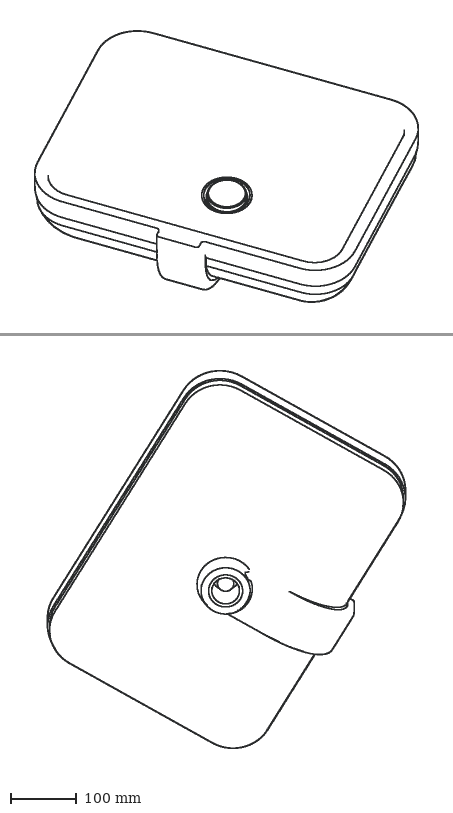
import cadquery as cq
import math

LENGTH = 520.0
WIDTH = 384.0
CORNER_RADIUS = 65.0
RIM_SIDE = 16.0
RIM_BACK = 16.0
RIM_FRONT = 14.0

LIP_STRAIGHT = 30.0
LIP_DEPTH = 35.5
LIP_TAPER = 0.5
WALL_INSET = 3.4
WALL_DEPTH = 56.0
UNDERSIDE_DEPTH = 140.5
UNDERSIDE_RUN = 100.5
UNDERSIDE_RADIUS = 114.0
BOTTOM_CORNER_RADIUS = 1.0
UNDERSIDE_SECTIONS = 8

BOWL_DEPTH = 100.0
BOWL_RADIUS = 45.0
RIM_ROUND = 4.5

DUCT_WIDTH = 69.0
DUCT_STANDOFF = 16.0
DUCT_STRAIGHT = 44.0
DUCT_BEND_RADIUS = 116.5
DUCT_BOTTOM = -DUCT_STRAIGHT - DUCT_BEND_RADIUS
DUCT_EDGE_ROUND = 4.0
DUCT_ROOT_ROUND = 5.0
DUCT_EMBED = 21.0

TOTAL_DEPTH = 170.0
DRAIN_Y = 1.5
SPIGOT_DIAMETER = 75.0
SPIGOT_FLARE = 9.5
FLARE_OVERLAP = 0.5
DUCT_SPIGOT_FLARE = 5.5

RING_DIAMETER = 77.0
RING_LIP = 3.0
RING_SEAT_DIAMETER = 63.5
RING_SEAT_DEPTH = 5.0
RING_THICKNESS = 8.5
TUBE_DIAMETER = 52.0
TUBE_BORE = 42.0

CAP_DIAMETER = 60.0
CAP_CHAMFER = 1.5
CAP_RIM_HEIGHT = 4.0
CAP_CROWN_HEIGHT = 9.5
STEM_DIAMETER = 25.0
STEM_LENGTH = 31.0


def rounded_block(length, width, radius, top, depth):
    """Block with rounded vertical corners, hanging down from z = top."""
    block = cq.Workplane("XY").workplane(offset=top).rect(length, width).extrude(-depth)
    return block.edges("|Z").fillet(radius)


def rounded_rectangle(inset, radius, z):
    """Closed wire following the basin outline at a given inset and height."""
    half_x = LENGTH / 2 - inset
    half_y = WIDTH / 2 - inset
    inner_x = half_x - radius
    inner_y = half_y - radius
    mid = radius * math.sqrt(0.5)
    outline = (
        cq.Workplane("XY", origin=(0, 0, z))
        .moveTo(-inner_x, -half_y)
        .lineTo(inner_x, -half_y)
        .threePointArc((inner_x + mid, -inner_y - mid), (half_x, -inner_y))
        .lineTo(half_x, inner_y)
        .threePointArc((inner_x + mid, inner_y + mid), (inner_x, half_y))
        .lineTo(-inner_x, half_y)
        .threePointArc((-inner_x - mid, inner_y + mid), (-half_x, inner_y))
        .lineTo(-half_x, -inner_y)
        .threePointArc((-inner_x - mid, -inner_y - mid), (-inner_x, -half_y))
        .close()
    )
    return outline.val()


def make_lip():
    straight = rounded_block(LENGTH, WIDTH, CORNER_RADIUS, 0, LIP_STRAIGHT)
    upper = rounded_rectangle(0, CORNER_RADIUS, -LIP_STRAIGHT)
    lower = rounded_rectangle(LIP_TAPER, CORNER_RADIUS - LIP_TAPER, -LIP_DEPTH)
    taper = cq.Workplane(cq.Solid.makeLoft([upper, lower], True))
    return straight.union(taper)


def make_wall():
    length = LENGTH - 2 * WALL_INSET
    width = WIDTH - 2 * WALL_INSET
    radius = CORNER_RADIUS - WALL_INSET
    return rounded_block(length, width, radius, -LIP_STRAIGHT, WALL_DEPTH - LIP_STRAIGHT)


def make_underside():
    """Curved lower shell whose corner radius shrinks towards the flat bottom."""
    drop = UNDERSIDE_DEPTH - WALL_DEPTH
    chord = math.hypot(UNDERSIDE_RUN, drop)
    chord_angle = math.atan2(drop, UNDERSIDE_RUN)
    half_sweep = math.asin(chord / 2 / UNDERSIDE_RADIUS)
    start = math.pi / 2 - chord_angle - half_sweep
    wall_corner = CORNER_RADIUS - WALL_INSET
    wires = []
    for i in range(UNDERSIDE_SECTIONS + 1):
        angle = start + 2 * half_sweep * i / UNDERSIDE_SECTIONS
        run = UNDERSIDE_RADIUS * (math.cos(start) - math.cos(angle))
        depth = WALL_DEPTH + UNDERSIDE_RADIUS * (math.sin(angle) - math.sin(start))
        corner = wall_corner + (BOTTOM_CORNER_RADIUS - wall_corner) * run / UNDERSIDE_RUN
        wires.append(rounded_rectangle(WALL_INSET + run, corner, -depth))
    return cq.Workplane(cq.Solid.makeLoft(wires))


def sweep_to_drain(section, front, bottom, bend_radius):
    """Sweep a section lying in the rim plane down the front, round the bend and on to the drain."""
    bend_y = front + bend_radius
    bend_z = bottom + bend_radius
    mid = bend_radius * math.sqrt(0.5)
    path = (
        cq.Workplane("YZ")
        .moveTo(front, 0)
        .lineTo(front, bend_z)
        .threePointArc((bend_y - mid, bend_z - mid), (bend_y, bottom))
        .lineTo(DRAIN_Y, bottom)
    )
    return section.sweep(path)


def make_duct_channel():
    """Main run of the duct, with rounded outer edges."""
    half = DUCT_WIDTH / 2
    front = -WIDTH / 2 - DUCT_STANDOFF
    back = -WIDTH / 2 + DUCT_EMBED
    shoulder = front + DUCT_EDGE_ROUND
    mid = DUCT_EDGE_ROUND * (1 - math.sqrt(0.5))
    section = (
        cq.Workplane("XY")
        .moveTo(-half + DUCT_EDGE_ROUND, front)
        .lineTo(half - DUCT_EDGE_ROUND, front)
        .threePointArc((half - mid, front + mid), (half, shoulder))
        .lineTo(half, back)
        .lineTo(-half, back)
        .lineTo(-half, shoulder)
        .threePointArc((-half + mid, front + mid), (-half + DUCT_EDGE_ROUND, front))
        .close()
    )
    return sweep_to_drain(section, front, DUCT_BOTTOM, DUCT_BEND_RADIUS)


def make_duct_root():
    """Concave flares where the sides of the duct meet the basin."""
    half = DUCT_WIDTH / 2
    base = -WIDTH / 2
    back = base + DUCT_EMBED
    tip = base - DUCT_ROOT_ROUND
    mid = DUCT_ROOT_ROUND * (1 - math.sqrt(0.5))
    section = (
        cq.Workplane("XY")
        .moveTo(-half, tip)
        .lineTo(half, tip)
        .threePointArc((half + mid, base - mid), (half + DUCT_ROOT_ROUND, base))
        .lineTo(half + DUCT_ROOT_ROUND, back)
        .lineTo(-half - DUCT_ROOT_ROUND, back)
        .lineTo(-half - DUCT_ROOT_ROUND, base)
        .threePointArc((-half - mid, base - mid), (-half, tip))
        .close()
    )
    bend_radius = UNDERSIDE_DEPTH - DUCT_STRAIGHT
    return sweep_to_drain(section, base, -UNDERSIDE_DEPTH, bend_radius)


def flared_post(radius, flare, top, bottom):
    """Round post on the drain axis that widens with a concave flare at its top."""
    flare_mid = flare * (1 - math.sqrt(0.5))
    return (
        cq.Workplane("XZ", origin=(0, DRAIN_Y, 0))
        .moveTo(0, bottom)
        .lineTo(radius, bottom)
        .lineTo(radius, top - flare)
        .threePointArc((radius + flare_mid, top - flare_mid), (radius + flare, top))
        .lineTo(0, top)
        .close()
        .revolve()
    )


def make_spigot():
    """Drain spigot, flared into the underside and into the duct face above it."""
    radius = SPIGOT_DIAMETER / 2
    spigot = flared_post(radius, SPIGOT_FLARE, -UNDERSIDE_DEPTH + FLARE_OVERLAP, -TOTAL_DEPTH)
    collar = flared_post(radius, DUCT_SPIGOT_FLARE, DUCT_BOTTOM + FLARE_OVERLAP, -TOTAL_DEPTH)
    duct_face = (
        cq.Workplane("XY", origin=(0, DRAIN_Y, -TOTAL_DEPTH))
        .rect(DUCT_WIDTH - 2 * DUCT_EDGE_ROUND, WIDTH)
        .extrude(TOTAL_DEPTH)
        .translate((0, -WIDTH / 2, 0))
    )
    return spigot.union(collar.intersect(duct_face))


def make_cavity():
    """Bowl cavity with vertical walls and a rounded floor, lying nearer the front than the back."""
    length = LENGTH - 2 * (RIM_SIDE + RIM_ROUND)
    back = WIDTH / 2 - RIM_BACK - RIM_ROUND
    front = -WIDTH / 2 + RIM_FRONT + RIM_ROUND
    cavity = rounded_block(length, back - front, BOWL_RADIUS, 0, BOWL_DEPTH)
    cavity = cavity.faces("<Z").edges().fillet(BOWL_RADIUS)
    return cavity.translate((0, (back + front) / 2, 0))


def drain_cylinder(diameter, top, bottom):
    """Cylinder on the drain axis between two heights."""
    base = cq.Workplane("XY", origin=(0, DRAIN_Y, bottom))
    return base.circle(diameter / 2).extrude(top - bottom)


def make_basin():
    basin = make_lip().union(make_wall()).union(make_underside())
    basin = basin.union(make_spigot()).union(make_duct_channel()).union(make_duct_root())
    basin = basin.cut(make_cavity())
    opening = basin.faces(">Z").wires(cq.selectors.AreaNthSelector(0))
    basin = opening.edges().fillet(RIM_ROUND)
    basin = basin.cut(drain_cylinder(RING_DIAMETER, -BOWL_DEPTH, -BOWL_DEPTH - RING_THICKNESS))
    return basin.cut(drain_cylinder(TUBE_DIAMETER, -BOWL_DEPTH, -TOTAL_DEPTH))


def make_drain_ring():
    """Flange with a conical seat, flush with the bowl floor, on a tube through the spigot."""
    return (
        cq.Workplane("XZ", origin=(0, DRAIN_Y, -BOWL_DEPTH))
        .moveTo(RING_DIAMETER / 2, 0)
        .lineTo(RING_DIAMETER / 2 - RING_LIP, 0)
        .lineTo(RING_SEAT_DIAMETER / 2, -RING_SEAT_DEPTH)
        .lineTo(TUBE_BORE / 2, -RING_SEAT_DEPTH)
        .lineTo(TUBE_BORE / 2, BOWL_DEPTH - TOTAL_DEPTH)
        .lineTo(TUBE_DIAMETER / 2, BOWL_DEPTH - TOTAL_DEPTH)
        .lineTo(TUBE_DIAMETER / 2, -RING_THICKNESS)
        .lineTo(RING_DIAMETER / 2, -RING_THICKNESS)
        .close()
        .revolve()
    )


def make_stopper():
    """Crowned cap resting on the ring seat, with a stem hanging in the tube."""
    radius = CAP_DIAMETER / 2
    crown_edge = radius - CAP_CHAMFER
    crown_rise = CAP_CROWN_HEIGHT - CAP_RIM_HEIGHT
    crown_radius = (crown_edge**2 + crown_rise**2) / (2 * crown_rise)
    mid_x = crown_edge / 2
    mid_z = CAP_CROWN_HEIGHT - crown_radius + math.sqrt(crown_radius**2 - mid_x**2)
    return (
        cq.Workplane("XZ", origin=(0, DRAIN_Y, -BOWL_DEPTH))
        .moveTo(0, CAP_CROWN_HEIGHT)
        .threePointArc((mid_x, mid_z), (crown_edge, CAP_RIM_HEIGHT))
        .lineTo(radius, CAP_RIM_HEIGHT - CAP_CHAMFER)
        .lineTo(radius, -RING_SEAT_DEPTH)
        .lineTo(STEM_DIAMETER / 2, -RING_SEAT_DEPTH)
        .lineTo(STEM_DIAMETER / 2, -RING_SEAT_DEPTH - STEM_LENGTH)
        .lineTo(0, -RING_SEAT_DEPTH - STEM_LENGTH)
        .close()
        .revolve()
    )


basin = make_basin()
drain_ring = make_drain_ring()
stopper = make_stopper()

result = cq.Compound.makeCompound([*basin.solids().vals(), drain_ring.val(), stopper.val()])